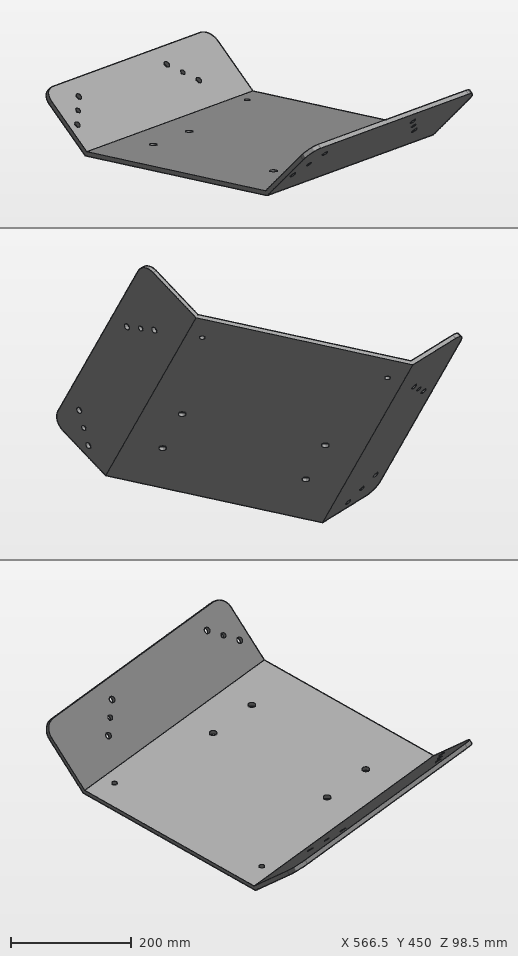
import cadquery as cq
import math

length_x = 566.5
width_y = 450.0
height_z = 98.5
thickness = 8.0
bend_angle = 45.0
corner_radius = 25.0

rear_hole_diameter = 9.0
rear_hole_x = 162.5
rear_hole_y = 178.0
front_hole_diameter = 12.5
front_hole_x = 126.0
front_hole_rows = (-27.0, -124.0)

wing_end_diameter = 11.0
wing_middle_diameter = 9.0
wing_hole_pitch = 22.5
wing_hole_distance = 73.0
wing_hole_rows = (102.0, -181.5)

angle = math.radians(bend_angle)
tip_run = thickness * math.sin(angle)
tip_rise = thickness * math.cos(angle)
outer_tip_x = length_x / 2
outer_tip_z = height_z - tip_rise
outer_bend_x = outer_tip_x - outer_tip_z / math.tan(angle)
inner_bend_x = outer_bend_x - thickness * math.tan(angle / 2)
inner_tip_x = outer_tip_x - tip_run
wing_slope_length = (height_z - thickness) / math.sin(angle)


def bent_sheet():
    """Constant-thickness trough section, extruded along Y with its underside at Z = 0."""
    right_side = [
        (outer_bend_x, 0),
        (outer_tip_x, outer_tip_z),
        (inner_tip_x, height_z),
        (inner_bend_x, thickness),
    ]
    left_side = [(-x, z) for x, z in reversed(right_side)]
    section = cq.Workplane("XZ").polyline(right_side + left_side).close()
    return section.extrude(width_y / 2, both=True)


def wing_plane(side):
    """Plane on a wing's upper face: local X climbs the slope from the bend line."""
    return cq.Plane(
        origin=(side * inner_bend_x, 0, thickness),
        xDir=(side * math.cos(angle), 0, math.sin(angle)),
        normal=(-side * math.sin(angle), 0, math.cos(angle)),
    )


def wing_corner_waste(side):
    """Material outside the two rounded corners at the tip of a wing."""
    plane = wing_plane(side)
    square_size = 2 * corner_radius
    corner_points = [(wing_slope_length, y) for y in (-width_y / 2, width_y / 2)]
    arc_centers = [
        (wing_slope_length - corner_radius, y)
        for y in (corner_radius - width_y / 2, width_y / 2 - corner_radius)
    ]
    squares = cq.Workplane(plane).pushPoints(corner_points).rect(square_size, square_size)
    squares = squares.extrude(thickness, both=True)
    rounds = cq.Workplane(plane).pushPoints(arc_centers).circle(corner_radius)
    return squares.cut(rounds.extrude(thickness, both=True))


def wing_hole_cutters(side):
    """Two diagonal rows of three holes, drilled square to a wing."""
    cutters = cq.Workplane(wing_plane(side))
    y_sign = side
    drills = None
    for row_index, middle_y in enumerate(wing_hole_rows):
        climb = -1 if row_index == 0 else 1
        for step in (-1, 0, 1):
            diameter = wing_middle_diameter if step == 0 else wing_end_diameter
            along_slope = wing_hole_distance + step * wing_hole_pitch
            along_y = y_sign * (middle_y + climb * step * wing_hole_pitch)
            drill = cutters.center(along_slope, along_y).circle(diameter / 2)
            drill = drill.extrude(thickness * 2, both=True)
            drills = drill if drills is None else drills.union(drill)
    return drills


def floor_hole_cutters():
    """Two small rear holes and four larger front holes, drilled vertically."""
    rear_points = [(side * rear_hole_x, rear_hole_y) for side in (-1, 1)]
    front_points = [(side * front_hole_x, y) for side in (-1, 1) for y in front_hole_rows]
    rear = cq.Workplane("XY").pushPoints(rear_points).circle(rear_hole_diameter / 2)
    front = cq.Workplane("XY").pushPoints(front_points).circle(front_hole_diameter / 2)
    return rear.extrude(thickness).union(front.extrude(thickness))


result = bent_sheet().cut(floor_hole_cutters())
for wing_side in (-1, 1):
    result = result.cut(wing_corner_waste(wing_side))
    result = result.cut(wing_hole_cutters(wing_side))